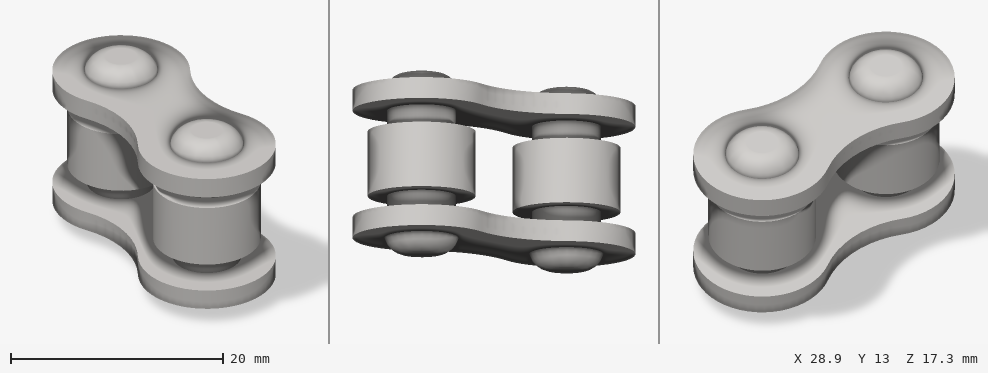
import cadquery as cq
import math

plate_length = 28.88
plate_width = 13.0
waist_width = 8.85
plate_thickness = 2.0
plate_gap = 10.2

pin_diameter = 5.0
head_diameter = 7.0
head_flat_diameter = 3.12
head_height = 1.53
head_edge_radius = 2.0
bushing_diameter = 6.5
roller_diameter = 10.17
roller_length = 6.18

end_radius = plate_width / 2
pin_spacing = plate_length - plate_width
pin_positions = [-pin_spacing / 2, pin_spacing / 2]
plate_outer_z = plate_gap / 2 + plate_thickness
head_top_z = plate_outer_z + head_height

half_spacing = pin_spacing / 2
half_waist = waist_width / 2
waist_radius = (half_spacing**2 + half_waist**2 - end_radius**2) / (2 * (end_radius - half_waist))
waist_center_y = half_waist + waist_radius

end_share = end_radius / (end_radius + waist_radius)
tangent_x = half_spacing * (1 - end_share)
tangent_y = waist_center_y * end_share


def make_plate(bottom_z):
    """Link plate with two pin holes, its lower face at bottom_z."""
    plate = (
        cq.Workplane("XY", origin=(0, 0, bottom_z))
        .moveTo(-tangent_x, tangent_y)
        .threePointArc((0, half_waist), (tangent_x, tangent_y))
        .threePointArc((plate_length / 2, 0), (tangent_x, -tangent_y))
        .threePointArc((0, -half_waist), (-tangent_x, -tangent_y))
        .threePointArc((-plate_length / 2, 0), (-tangent_x, tangent_y))
        .close()
        .extrude(plate_thickness)
    )
    holes = (
        cq.Workplane("XY", origin=(0, 0, bottom_z))
        .pushPoints([(x, 0) for x in pin_positions])
        .circle(pin_diameter / 2)
        .extrude(plate_thickness)
    )
    return plate.cut(holes)


def make_pin(x):
    """Pin through both plates, with a domed head on each end."""
    shank_radius = pin_diameter / 2
    head_radius = head_diameter / 2
    flat_radius = head_flat_diameter / 2

    run = head_radius - flat_radius
    chord = math.hypot(run, head_height)
    sagitta = head_edge_radius - math.sqrt(head_edge_radius**2 - (chord / 2) ** 2)
    edge_mid_r = (flat_radius + head_radius) / 2 + sagitta * head_height / chord
    edge_mid_z = plate_outer_z + head_height / 2 + sagitta * run / chord

    return (
        cq.Workplane("XZ", origin=(x, 0, 0))
        .moveTo(0, -head_top_z)
        .lineTo(flat_radius, -head_top_z)
        .threePointArc((edge_mid_r, -edge_mid_z), (head_radius, -plate_outer_z))
        .lineTo(shank_radius, -plate_outer_z)
        .lineTo(shank_radius, plate_outer_z)
        .lineTo(head_radius, plate_outer_z)
        .threePointArc((edge_mid_r, edge_mid_z), (flat_radius, head_top_z))
        .lineTo(0, head_top_z)
        .close()
        .revolve(360, (0, 0, 0), (0, 1, 0))
    )


def make_sleeve(x, outer_diameter, inner_diameter, length):
    """Plain tube around a pin axis, centred between the plates."""
    return (
        cq.Workplane("XY", origin=(x, 0, -length / 2))
        .circle(outer_diameter / 2)
        .circle(inner_diameter / 2)
        .extrude(length)
    )


def make_bushing(x):
    """Bushing on the pin, filling the gap between the plates."""
    return make_sleeve(x, bushing_diameter, pin_diameter, plate_gap)


def make_roller(x):
    """Roller on the bushing, shorter than the plate gap."""
    return make_sleeve(x, roller_diameter, bushing_diameter, roller_length)


bodies = []
for plate_bottom_z in (-plate_outer_z, plate_gap / 2):
    bodies.append(make_plate(plate_bottom_z).val())
for pin_x in pin_positions:
    bodies.append(make_pin(pin_x).val())
    bodies.append(make_bushing(pin_x).val())
    bodies.append(make_roller(pin_x).val())

result = cq.Compound.makeCompound(bodies)